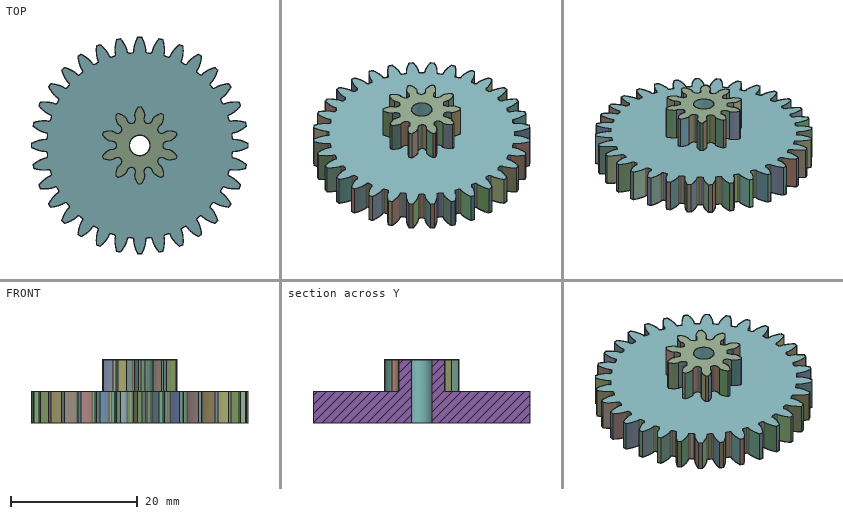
import cadquery as cq
import math

MODULE = 1.0
PRESSURE_ANGLE = math.radians(20)
ADDENDUM = 1.1 * MODULE
DEDENDUM = 1.35 * MODULE

WHEEL_TEETH = 32
WHEEL_THICKNESS = 5.0
WHEEL_ROOT_FILLET = 0.25

PINION_TEETH = 10
PINION_HEIGHT = 5.0
CUTTER_TIP_RADIUS = 0.38

BORE_DIAMETER = 3.2

FLANK_STEPS = 6
ROOT_STEPS = 8
BISECTION_STEPS = 40


def pitch_radius(teeth):
    return MODULE * teeth / 2


def base_radius(teeth):
    return pitch_radius(teeth) * math.cos(PRESSURE_ANGLE)


def tip_radius(teeth):
    return pitch_radius(teeth) + ADDENDUM


def root_radius(teeth):
    return pitch_radius(teeth) - DEDENDUM


def involute_function(angle):
    return math.tan(angle) - angle


def flank_angle(teeth, radius):
    """Angle from the tooth centre line to the involute flank at a radius."""
    local_pressure_angle = math.acos(base_radius(teeth) / radius)
    half_tooth_at_pitch = math.pi / (2 * teeth)
    return half_tooth_at_pitch + involute_function(PRESSURE_ANGLE) - involute_function(local_pressure_angle)


def polar(radius, angle):
    """Point at a radius and a clockwise angle from +Y."""
    return (radius * math.sin(angle), radius * math.cos(angle))


def rotated(point, angle):
    """Point turned clockwise about the gear axis."""
    x, y = point
    return (
        x * math.cos(angle) + y * math.sin(angle),
        y * math.cos(angle) - x * math.sin(angle),
    )


def mirrored(points):
    """Curve reflected in the tooth centre line, running the other way."""
    return [(-x, y) for x, y in reversed(points)]


def involute_flank(teeth, start_radius):
    """Points down the clockwise flank of the +Y tooth, from its tip to start_radius."""
    outer = tip_radius(teeth)
    step = (outer - start_radius) / FLANK_STEPS
    radii = [outer - i * step for i in range(FLANK_STEPS)] + [start_radius]
    return [polar(r, flank_angle(teeth, r)) for r in radii]


def cutter_corner():
    """Centre of the rack's tip corner: distance from the tooth centre line, depth below the pitch line."""
    depth = DEDENDUM - CUTTER_TIP_RADIUS
    half_space = math.pi * MODULE / 4
    side_recess = CUTTER_TIP_RADIUS / math.cos(PRESSURE_ANGLE)
    offset_in_space = half_space - depth * math.tan(PRESSURE_ANGLE) - side_recess
    return math.pi * MODULE / 2 - offset_in_space, depth


def undercut_position(teeth, roll):
    """Radius and angle of the root curve cut when the gear has rolled a distance along the rack."""
    corner_x, corner_depth = cutter_corner()
    reach = math.hypot(corner_x - roll, corner_depth)
    stretch = 1 + CUTTER_TIP_RADIUS / reach
    x = (corner_x - roll) * stretch
    y = pitch_radius(teeth) - corner_depth * stretch
    return math.hypot(x, y), math.atan2(x, y) + roll / pitch_radius(teeth)


def undercut_end_roll(teeth):
    """Roll at which the undercut curve meets the involute flank, found by bisection."""
    low = cutter_corner()[0]
    high = low + pitch_radius(teeth) / 2
    for _ in range(BISECTION_STEPS):
        middle = (low + high) / 2
        radius, angle = undercut_position(teeth, middle)
        if radius < base_radius(teeth) or angle < flank_angle(teeth, radius):
            low = middle
        else:
            high = middle
    return low


def undercut_root(teeth):
    """Points down the undercut, from the involute flank to the root circle."""
    start = undercut_end_roll(teeth)
    end = cutter_corner()[0]
    rolls = [start + (end - start) * i / ROOT_STEPS for i in range(ROOT_STEPS + 1)]
    return [polar(*undercut_position(teeth, roll)) for roll in rolls]


def fillet_root(teeth, half_width):
    """Start, middle and end of the arc from a straight flank to the root circle."""
    radius = WHEEL_ROOT_FILLET
    centre_x = half_width + radius
    centre_distance = root_radius(teeth) + radius
    centre_angle = math.asin(centre_x / centre_distance)
    centre_y = centre_distance * math.cos(centre_angle)
    start = (half_width, centre_y)
    end = polar(root_radius(teeth), centre_angle)
    middle_direction = (math.pi / 2 + centre_angle) / 2
    middle = (
        centre_x - radius * math.sin(middle_direction),
        centre_y - radius * math.cos(middle_direction),
    )
    return [start, middle, end]


def add_curve(outline, curve, turn):
    """Extend the outline along a (kind, points) curve turned about the gear axis."""
    kind, points = curve
    placed = [rotated(point, turn) for point in points[1:]]
    if kind == "arc":
        return outline.threePointArc(*placed)
    if kind == "line":
        return outline.lineTo(*placed[0])
    return outline.spline(placed, includeCurrent=True)


def gear(teeth, thickness, half_tooth):
    """Extruded gear with a tooth on +Y; half_tooth lists the curves from its tip to the root circle."""
    pitch_angle = 2 * math.pi / teeth
    other_half = [(kind, mirrored(points)) for kind, points in reversed(half_tooth)]
    tooth_start = other_half[0][1][0]
    tip_corner = half_tooth[0][1][0]

    outline = cq.Workplane("XY").moveTo(*tooth_start)
    for i in range(teeth):
        turn = i * pitch_angle
        for curve in other_half:
            outline = add_curve(outline, curve, turn)
        outline = outline.threePointArc(polar(tip_radius(teeth), turn), rotated(tip_corner, turn))
        for curve in half_tooth:
            outline = add_curve(outline, curve, turn)
        gap_middle = polar(root_radius(teeth), turn + pitch_angle / 2)
        outline = outline.threePointArc(gap_middle, rotated(tooth_start, turn + pitch_angle))
    return outline.close().extrude(thickness)


def make_wheel():
    """Wheel whose flanks run straight down from the base circle to a small root fillet."""
    flank = involute_flank(WHEEL_TEETH, base_radius(WHEEL_TEETH))
    fillet = fillet_root(WHEEL_TEETH, flank[-1][0])
    half_tooth = [
        ("spline", flank),
        ("line", [flank[-1], fillet[0]]),
        ("arc", fillet),
    ]
    return gear(WHEEL_TEETH, WHEEL_THICKNESS, half_tooth)


def make_pinion():
    """Pinion whose few teeth are undercut below the involute flanks."""
    root = undercut_root(PINION_TEETH)
    flank = involute_flank(PINION_TEETH, math.hypot(*root[0]))
    half_tooth = [("spline", flank), ("spline", root)]
    return gear(PINION_TEETH, PINION_HEIGHT, half_tooth).translate((0, 0, WHEEL_THICKNESS))


def make_bore():
    return cq.Workplane("XY").circle(BORE_DIAMETER / 2).extrude(WHEEL_THICKNESS + PINION_HEIGHT)


result = make_wheel().union(make_pinion()).cut(make_bore())